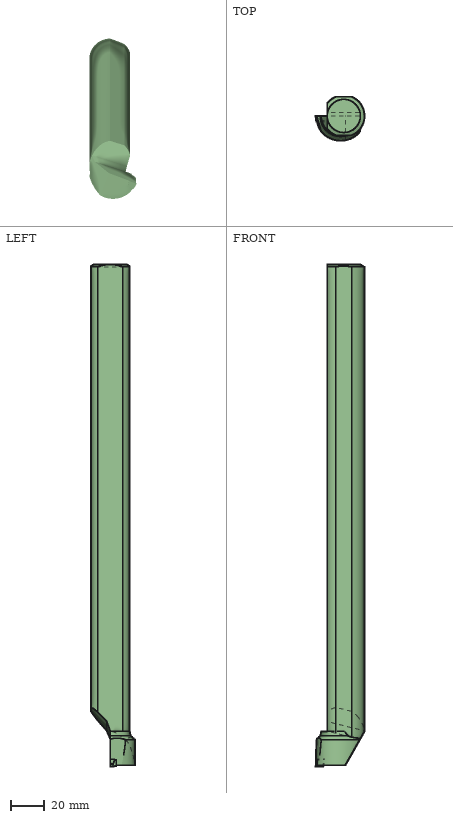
import cadquery as cq
import math

LENGTH = 301.2

SHANK_RADIUS = 12.5
SIDE_FLAT = 10.0
FRONT_FLAT = 11.6
END_CHAMFER_RADIAL = 2.55
END_CHAMFER_HEIGHT = 1.5

HEAD_X = -1.8
HEAD_RADIUS = 14.9
HEAD_BOTTOM = 1.0
HEAD_RIM = 16.3
SHOULDER_RADIUS = 12.5
SHOULDER_TOP = 18.7
NECK_RADIUS = 11.7
NECK_TOP = 21.5
HEEL_X = 1.0

RELIEF_TOP = 34.5
RELIEF_BEND_Y = 2.0
RELIEF_BOTTOM = 19.5
RELIEF_TILT = 14.0
RELIEF_REACH = 60.2

FLANK_X = -17.2
FLANK_CLEARANCE = 17.0
FLANK_LEAN = 3.0

OVERALL_WIDTH = 29.5
NOSE_X = SHANK_RADIUS - OVERALL_WIDTH
INSERT_SIDE = 4.8
INSERT_ANGLE = 80.0
INSERT_TILT = 3.0
INSERT_THICKNESS = 3.5
INSERT_CLEARANCE = 7.0


def make_shank():
    """Flatted round bar with a chamfered upper end."""
    round_bar = (
        cq.Workplane("XZ")
        .moveTo(0, HEAD_BOTTOM)
        .lineTo(SHANK_RADIUS, HEAD_BOTTOM)
        .lineTo(SHANK_RADIUS, LENGTH - END_CHAMFER_HEIGHT)
        .lineTo(SHANK_RADIUS - END_CHAMFER_RADIAL, LENGTH)
        .lineTo(0, LENGTH)
        .close()
        .revolve(360, (0, 0), (0, 1))
    )
    envelope = cq.Workplane("XY").box(
        SIDE_FLAT + SHANK_RADIUS, 2 * FRONT_FLAT, LENGTH, centered=(False, True, False)
    ).translate((-SIDE_FLAT, 0, 0))
    return round_bar.intersect(envelope)


def make_head():
    """Half-round head with two cones leading up to the shank."""
    return (
        cq.Workplane("XZ", origin=(HEAD_X, 0, 0))
        .moveTo(0, HEAD_BOTTOM)
        .lineTo(HEAD_RADIUS, HEAD_BOTTOM)
        .lineTo(HEAD_RADIUS, HEAD_RIM)
        .lineTo(SHOULDER_RADIUS, SHOULDER_TOP)
        .lineTo(NECK_RADIUS, NECK_TOP)
        .lineTo(0, NECK_TOP)
        .close()
        .revolve(360, (0, 0), (0, 1))
    )


def relief_cut():
    """Space behind the rake plane, closed above by a tilted ramp."""
    ramp_height = RELIEF_TOP + RELIEF_REACH - FRONT_FLAT
    bend_height = RELIEF_TOP - (FRONT_FLAT - RELIEF_BEND_Y)
    return (
        cq.Workplane("YZ")
        .polyline([
            (0, -RELIEF_REACH),
            (0, RELIEF_BOTTOM),
            (RELIEF_BEND_Y, bend_height),
            (RELIEF_REACH, ramp_height),
            (RELIEF_REACH, -RELIEF_REACH),
        ])
        .close()
        .extrude(RELIEF_REACH, both=True)
        .rotate((0, 0, RELIEF_TOP), (0, 1, RELIEF_TOP), RELIEF_TILT)
    )


def heel_cut():
    """Wedge that slants the +X side of the head up to the shank."""
    return (
        cq.Workplane("XZ")
        .polyline([
            (HEEL_X, HEAD_BOTTOM),
            (SHANK_RADIUS, NECK_TOP),
            (2 * SHANK_RADIUS, NECK_TOP),
            (2 * SHANK_RADIUS, HEAD_BOTTOM),
        ])
        .close()
        .extrude(2 * HEAD_RADIUS, both=True)
    )


def flank_cut():
    """Block outside the clearance flank."""
    return (
        cq.Workplane("XY")
        .box(HEAD_RADIUS, 4 * HEAD_RADIUS, 4 * HEAD_RADIUS)
        .translate((-HEAD_RADIUS / 2, 0, 0))
        .rotate((0, 0, 0), (0, 1, 0), FLANK_LEAN)
        .rotate((0, 0, 0), (0, 0, 1), FLANK_CLEARANCE)
        .translate((FLANK_X, 0, HEAD_BOTTOM))
    )


def make_insert():
    """Rhombic plate, flush with the rake plane and tapering toward -Y."""
    low = math.radians(INSERT_TILT)
    high = math.radians(INSERT_TILT + INSERT_ANGLE)
    low_x, low_z = INSERT_SIDE * math.cos(low), INSERT_SIDE * math.sin(low)
    high_x, high_z = INSERT_SIDE * math.cos(high), INSERT_SIDE * math.sin(high)
    return (
        cq.Workplane("XZ", origin=(NOSE_X, 0, 0))
        .polyline([(0, 0), (low_x, low_z), (low_x + high_x, low_z + high_z), (high_x, high_z)])
        .close()
        .extrude(INSERT_THICKNESS, taper=INSERT_CLEARANCE)
    )


insert = make_insert()
head = make_head().cut(flank_cut())
holder = make_shank().union(head).cut(relief_cut()).cut(heel_cut()).cut(insert)

result = cq.Compound.makeCompound([holder.solids().val(), insert.val()])